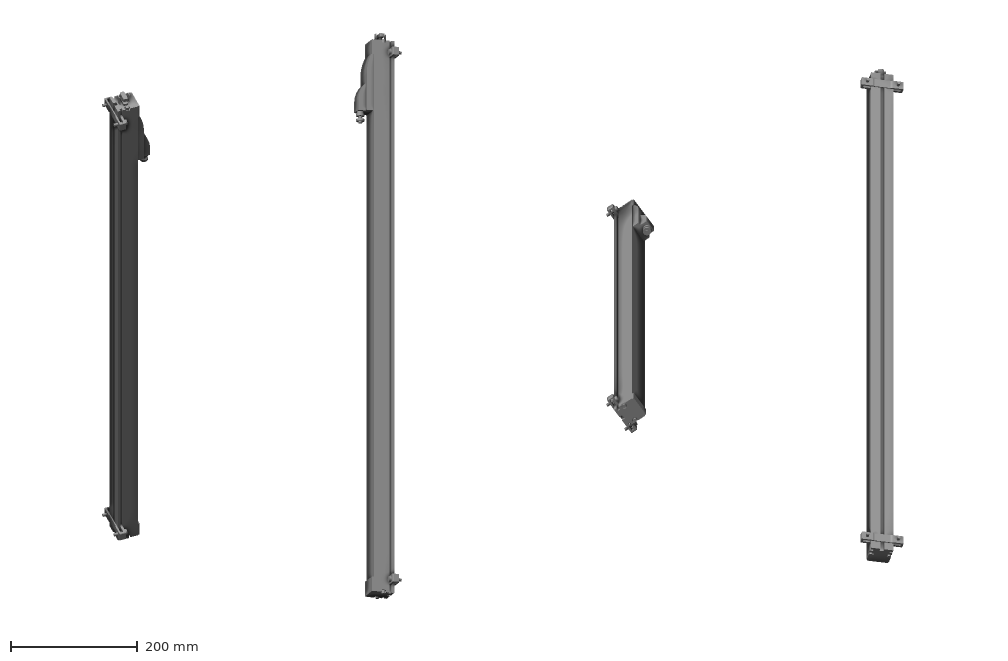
import cadquery as cq

LENGTH = 907.0
BOTTOM_Z = 2.0
WIDTH = 36.0
BACK_Y = 10.0
DEPTH = 34.0
FRONT_Y = BACK_Y - DEPTH
MIDDLE_Y = BACK_Y - DEPTH / 2
TOP_Z = BOTTOM_Z + LENGTH

FRONT_GROOVE_WIDTH = 6.0
FRONT_GROOVE_DEPTH = 5.5
SIDE_GROOVE_SETBACK = 26.0
SIDE_GROOVE_BACK_Y = BACK_Y - SIDE_GROOVE_SETBACK
SIDE_GROOVE_HEIGHT = 4.0
SIDE_GROOVE_DEPTH = 5.0

PAD_WIDTH = 34.0
PAD_THICKNESS = 3.0
PAD_LENGTH = 24.0

END_SCREW_X = 15.0
END_SCREW_DIAMETER = 5.5
END_SCREW_PROJECTION = BOTTOM_Z
END_BORE_DIAMETER = 9.0
END_BORE_DEPTH = 4.0

PLUG_DIAMETER = 18.0
PLUG_NECK_DIAMETER = 5.5
PLUG_TOP_Z = 922.5
PLUG_BAR_WIDTH = 7.0
PLUG_SLOT_WIDTH = 4.15
PLUG_WAIST_BOTTOM_Z = 912.0
PLUG_WAIST_TOP_Z = 917.0

CLAMP_WIDTH = 68.0
CLAMP_HEIGHT = 14.0
CLAMP_INSET = 20.0
CLAMP_BACK_Y = SIDE_GROOVE_BACK_Y
CLAMP_FRONT_Y = -27.0
CLAMP_SEAT_WIDTH = 61.0
CLAMP_END_CHAMFER = 1.0
CLAMP_RECESS_WIDTH = 31.0
CLAMP_RECESS_FLOOR_WIDTH = 26.0
CLAMP_RECESS_DEPTH = 1.0
CLAMP_SCREW_SPACING = 50.0
CLAMP_SCREW_DIAMETER = 5.0
CLAMP_SCREW_TIP_Y = -33.0
CLAMP_HEAD_DIAMETER = 9.0
CLAMP_HEAD_HEIGHT = 4.0

WIDE_STAGE_WIDTH = 30.0
WIDE_STAGE_TOP_Z = TOP_Z - PAD_LENGTH
WIDE_STAGE_LEDGE = 4.0
WIDE_STAGE_ROUND_HEIGHT = 32.0
WIDE_STAGE_BACK_Y = 21.0
NARROW_STAGE_WIDTH = 20.0
NARROW_STAGE_TOP_Z = 838.0
NARROW_STAGE_ROUND_HEIGHT = 28.0
NARROW_STAGE_BACK_Y = 33.0
MODULE_BOTTOM_Z = 792.0

SOCKET_COLLAR_DIAMETER = 13.0
SOCKET_NECK_DIAMETER = 5.5
SOCKET_STEPS = [
    (11.0, 4.0),
    (SOCKET_COLLAR_DIAMETER, 4.0),
    (SOCKET_NECK_DIAMETER, 5.0),
    (SOCKET_COLLAR_DIAMETER, 4.0),
    (SOCKET_NECK_DIAMETER, 3.0),
]


def box(x_size, y_min, y_max, z_min, z_max):
    """Box centred on X = 0 between the given Y and Z limits."""
    return cq.Workplane("XY").box(x_size, y_max - y_min, z_max - z_min).translate(
        (0, (y_min + y_max) / 2, (z_min + z_max) / 2)
    )


def upright_cylinder(diameter, x, y, z_min, height):
    """Cylinder along Z standing on z_min."""
    return cq.Workplane("XY", origin=(x, y, z_min)).circle(diameter / 2).extrude(height)


def make_profile():
    """Extruded housing with one front groove and a groove in each side."""
    profile = box(WIDTH, FRONT_Y, BACK_Y, BOTTOM_Z, TOP_Z)
    profile = profile.cut(
        box(FRONT_GROOVE_WIDTH, FRONT_Y, FRONT_Y + FRONT_GROOVE_DEPTH, BOTTOM_Z, TOP_Z)
    )
    side_groove = box(
        2 * SIDE_GROOVE_DEPTH, SIDE_GROOVE_BACK_Y - SIDE_GROOVE_HEIGHT, SIDE_GROOVE_BACK_Y, BOTTOM_Z, TOP_Z
    )
    for side in (-1, 1):
        profile = profile.cut(side_groove.translate((side * WIDTH / 2, 0, 0)))
    return profile


def add_end_pads(sensor):
    """Raise the back face over a short length at each end."""
    for z_min in (BOTTOM_Z, TOP_Z - PAD_LENGTH):
        sensor = sensor.union(box(PAD_WIDTH, BACK_Y, BACK_Y + PAD_THICKNESS, z_min, z_min + PAD_LENGTH))
    return sensor


def add_end_screws(sensor):
    """Two screws at each end, standing in counterbores open to the sides."""
    screw_height = END_BORE_DEPTH + END_SCREW_PROJECTION
    for x in (-END_SCREW_X, END_SCREW_X):
        for bore_z, screw_z in (
            (BOTTOM_Z, BOTTOM_Z - END_SCREW_PROJECTION),
            (TOP_Z - END_BORE_DEPTH, TOP_Z - END_BORE_DEPTH),
        ):
            sensor = sensor.cut(upright_cylinder(END_BORE_DIAMETER, x, MIDDLE_Y, bore_z, END_BORE_DEPTH))
            sensor = sensor.union(upright_cylinder(END_SCREW_DIAMETER, x, MIDDLE_Y, screw_z, screw_height))
    return sensor


def make_plug():
    """Round head on the top end, slotted along X, whose middle bar narrows to a round neck."""
    plug = upright_cylinder(PLUG_DIAMETER, 0, MIDDLE_Y, TOP_Z, PLUG_TOP_Z - TOP_Z)
    slot_middle = (PLUG_BAR_WIDTH + PLUG_SLOT_WIDTH) / 2
    slot = box(
        PLUG_DIAMETER, MIDDLE_Y - PLUG_SLOT_WIDTH / 2, MIDDLE_Y + PLUG_SLOT_WIDTH / 2, TOP_Z, PLUG_TOP_Z
    )
    for side in (-1, 1):
        plug = plug.cut(slot.translate((0, side * slot_middle, 0)))
    bar_half = PLUG_BAR_WIDTH / 2
    waist = box(
        PLUG_DIAMETER, MIDDLE_Y - bar_half, MIDDLE_Y + bar_half, PLUG_WAIST_BOTTOM_Z, PLUG_WAIST_TOP_Z
    )
    neck_height = PLUG_WAIST_TOP_Z - PLUG_WAIST_BOTTOM_Z
    neck = upright_cylinder(PLUG_NECK_DIAMETER, 0, MIDDLE_Y, PLUG_WAIST_BOTTOM_Z, neck_height)
    return plug.cut(waist.cut(neck))


def make_clamp(z_middle):
    """Clamp bar across the front, hooked into the side grooves, with its two screws."""
    z_min = z_middle - CLAMP_HEIGHT / 2
    z_max = z_middle + CLAMP_HEIGHT / 2
    jaw_front_y = SIDE_GROOVE_BACK_Y - SIDE_GROOVE_HEIGHT
    jaw_gap = WIDTH - 2 * SIDE_GROOVE_DEPTH
    clamp = box(CLAMP_WIDTH, CLAMP_FRONT_Y, CLAMP_BACK_Y, z_min, z_max)
    clamp = clamp.faces("<X or >X").chamfer(CLAMP_END_CHAMFER)
    clamp = clamp.cut(box(CLAMP_SEAT_WIDTH, FRONT_Y, jaw_front_y, z_min, z_max))
    clamp = clamp.cut(box(jaw_gap, jaw_front_y, CLAMP_BACK_Y, z_min, z_max))
    recess = (
        cq.Workplane("XY", origin=(0, 0, z_min))
        .moveTo(-CLAMP_RECESS_WIDTH / 2, CLAMP_FRONT_Y)
        .lineTo(CLAMP_RECESS_WIDTH / 2, CLAMP_FRONT_Y)
        .lineTo(CLAMP_RECESS_FLOOR_WIDTH / 2, CLAMP_FRONT_Y + CLAMP_RECESS_DEPTH)
        .lineTo(-CLAMP_RECESS_FLOOR_WIDTH / 2, CLAMP_FRONT_Y + CLAMP_RECESS_DEPTH)
        .close()
        .extrude(CLAMP_HEIGHT)
    )
    clamp = clamp.cut(recess)
    head_back_y = CLAMP_BACK_Y + CLAMP_HEAD_HEIGHT
    for x in (-CLAMP_SCREW_SPACING / 2, CLAMP_SCREW_SPACING / 2):
        axis = cq.Workplane("XZ", origin=(x, head_back_y, z_middle))
        clamp = clamp.union(axis.circle(CLAMP_HEAD_DIAMETER / 2).extrude(CLAMP_HEAD_HEIGHT))
        clamp = clamp.union(axis.circle(CLAMP_SCREW_DIAMETER / 2).extrude(head_back_y - CLAMP_SCREW_TIP_Y))
    return clamp


def make_sensor():
    """Housing with end screws, plug and both clamps as one solid."""
    sensor = add_end_screws(add_end_pads(make_profile())).union(make_plug())
    for z_middle in (BOTTOM_Z + CLAMP_INSET, TOP_Z - CLAMP_INSET):
        sensor = sensor.union(make_clamp(z_middle))
    return sensor


def make_stage(width, inner_y, arc_start_y, back_y, top_z, round_height):
    """Block whose top curves down from arc_start_y and runs smoothly into the upright back face."""
    rounded_part = (
        cq.Workplane("YZ", origin=(-width / 2, 0, 0))
        .moveTo(arc_start_y, MODULE_BOTTOM_Z)
        .lineTo(back_y, MODULE_BOTTOM_Z)
        .lineTo(back_y, top_z - round_height)
        .tangentArcPoint((arc_start_y, top_z), relative=False)
        .close()
        .extrude(width)
    )
    if arc_start_y == inner_y:
        return rounded_part
    return rounded_part.union(box(width, inner_y, arc_start_y, MODULE_BOTTOM_Z, top_z)).clean()


def make_connector():
    """Connector module: two stages with the stepped socket hanging below."""
    wide_stage = make_stage(
        WIDE_STAGE_WIDTH,
        BACK_Y,
        BACK_Y + WIDE_STAGE_LEDGE,
        WIDE_STAGE_BACK_Y,
        WIDE_STAGE_TOP_Z,
        WIDE_STAGE_ROUND_HEIGHT,
    )
    narrow_stage = make_stage(
        NARROW_STAGE_WIDTH,
        WIDE_STAGE_BACK_Y,
        WIDE_STAGE_BACK_Y,
        NARROW_STAGE_BACK_Y,
        NARROW_STAGE_TOP_Z,
        NARROW_STAGE_ROUND_HEIGHT,
    )
    connector = wide_stage.union(narrow_stage)
    socket_y = NARROW_STAGE_BACK_Y - SOCKET_COLLAR_DIAMETER / 2
    step_top_z = MODULE_BOTTOM_Z
    for diameter, height in SOCKET_STEPS:
        step_top_z -= height
        connector = connector.union(upright_cylinder(diameter, 0, socket_y, step_top_z, height))
    return connector


sensor = make_sensor()
connector = make_connector()
result = cq.Compound.makeCompound([sensor.val(), connector.val()])